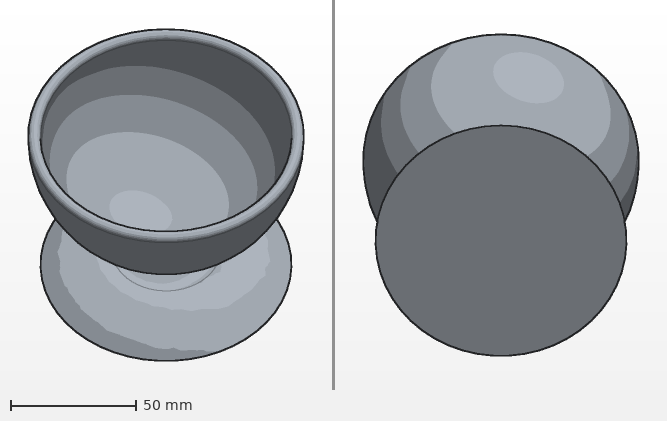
import cadquery as cq
import math

bowl_radius = 55.0
wall = 5.0
total_height = 82.2
rim_radius = wall / 2
rim_center_radius = bowl_radius - rim_radius
inner_radius = bowl_radius - wall
bowl_center_z = total_height - rim_radius

neck_radius = 5.8
flare_start_radius = 8.4
flare_start_z = 17.6
flare_end_radius = 21.8

foot_radius = 50.0
crown_radius = 27.0
crown_z = 10.3

crown_run = foot_radius - crown_radius
crown_arc_radius = (crown_run**2 + crown_z**2) / (2 * crown_z)


def sphere_height(radius, distance):
    """Height of the lower half of a bowl sphere at a distance from the axis."""
    return bowl_center_z - math.sqrt(radius**2 - distance**2)


def crown_height(distance):
    """Height of the foot's crown at a distance from the axis."""
    offset = distance - crown_radius
    return crown_z - crown_arc_radius + math.sqrt(crown_arc_radius**2 - offset**2)


neck_z = sphere_height(bowl_radius, neck_radius)
outer_mid_radius = (neck_radius + bowl_radius) / 2
inner_mid_radius = inner_radius / 2

profile = (
    cq.Workplane("XZ")
    .lineTo(foot_radius, 0)
    .threePointArc((crown_radius, crown_z), (flare_end_radius, crown_height(flare_end_radius)))
)

cone_run = flare_start_radius - neck_radius
cone_drop = neck_z - flare_start_z
chord_run = flare_end_radius - flare_start_radius
chord_drop = flare_start_z - crown_height(flare_end_radius)
half_turn = math.atan2(cone_drop, cone_run) - math.atan2(chord_drop, chord_run)
flare_bulge = math.tan(half_turn / 2) / 2
flare_middle = (
    (flare_start_radius + flare_end_radius) / 2 - flare_bulge * chord_drop,
    (flare_start_z + crown_height(flare_end_radius)) / 2 - flare_bulge * chord_run,
)

profile = (
    profile
    .threePointArc(flare_middle, (flare_start_radius, flare_start_z))
    .lineTo(neck_radius, neck_z)
    .threePointArc(
        (outer_mid_radius, sphere_height(bowl_radius, outer_mid_radius)),
        (bowl_radius, bowl_center_z),
    )
    .threePointArc((rim_center_radius, total_height), (inner_radius, bowl_center_z))
    .threePointArc(
        (inner_mid_radius, sphere_height(inner_radius, inner_mid_radius)),
        (0, bowl_center_z - inner_radius),
    )
    .close()
)

result = profile.revolve(360, (0, 0, 0), (0, 1, 0))